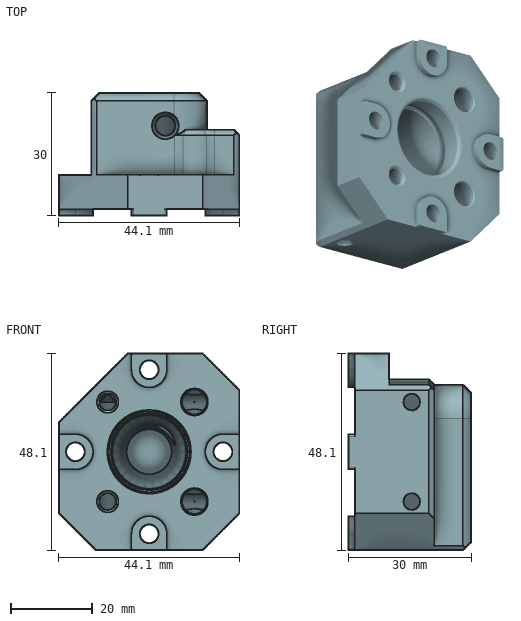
import cadquery as cq
import math

width = 44.1
height = 48.1
depth = 30.0
half_width = width / 2
half_height = height / 2

pad_thickness = 1.6
plate_back = 10.0
corner_cut = 9.0
large_corner_cut = 16.85

pad_radius = 4.35
pad_corner_round = 0.5
side_pad_offset = 18.05
end_pad_offset = 20.05
mount_hole_diameter = 4.5

body_top = 16.4
body_half_width = 14.2
upper_corner_radius = 8.2
upper_chamfer = 1.95
lower_back = 21.0
lower_chamfer = 1.3
boss_radius = 5.6
boss_blend_radius = 4.0

blind_hole_height = 12.15
small_hole_x = -10.15
small_hole_radius = 2.05
small_hole_chamfer = 0.6
large_hole_x = 11.05
large_hole_radius = 3.05
large_hole_chamfer = 0.3
drill_point_angle = 118.0

long_passage_y = 22.0
long_passage_radius = 2.05
side_passage_radius = 2.0
side_passage_overrun = 0.5
drill_point_overrun = 0.05
side_passage_y = (plate_back + lower_back) / 2

port_x = 3.95
port_y = 22.0
port_radius = 3.25
port_straight_depth = 4.8
port_taper_length = 4.8
port_feed_radius = 2.4

bore_rim_radius = 10.25
bore_chamfer_radius = 9.85
bore_radius = 9.4
bore_lip_depth = 0.15
bore_chamfer_depth = 0.75
groove_radius = 10.1
groove_start = 6.95
groove_end = 8.8
taper_start_radius = 9.05
taper_end_radius = 5.5
taper_end = 27.9


def front_plane(y):
    """Sketch plane facing -Y at the given depth: local axes are X and Z."""
    return cq.Workplane("XZ", origin=(0, y, 0))


def turned(profile, x, z):
    """Revolve (radius, y) points about a Y-parallel axis through (x, z)."""
    sketch = cq.Workplane("XY").polyline(profile).close()
    return sketch.revolve(360, (0, 0, 0), (0, 1, 0)).translate((x, 0, z))


def plate_outline(start, end):
    """Prism of the eight-sided plate outline between two Y depths."""
    points = [
        (-half_width, half_height - large_corner_cut),
        (-half_width + large_corner_cut, half_height),
        (half_width - corner_cut, half_height),
        (half_width, half_height - corner_cut),
        (half_width, -half_height + corner_cut),
        (half_width - corner_cut, -half_height),
        (-half_width + corner_cut, -half_height),
        (-half_width, -half_height + corner_cut),
    ]
    return front_plane(start).polyline(points).close().extrude(start - end)


def mounting_pad(center_offset, edge_offset):
    """Raised pad, straight towards the plate edge and round towards the bore, placed at +Z."""
    straight = edge_offset - center_offset
    pad = (
        front_plane(0)
        .moveTo(-pad_radius, center_offset)
        .threePointArc((0, center_offset - pad_radius), (pad_radius, center_offset))
        .line(0, straight)
        .line(-2 * pad_radius, 0)
        .close()
        .extrude(-pad_thickness)
    )
    return pad.edges("|Y and >Z").fillet(pad_corner_round)


def upper_body():
    """Tall body, full depth, with one large round on its upper +X corner."""
    body = (
        front_plane(plate_back)
        .moveTo(-body_half_width, -half_height)
        .lineTo(-body_half_width, body_top)
        .lineTo(body_half_width - upper_corner_radius, body_top)
        .radiusArc((body_half_width, body_top - upper_corner_radius), upper_corner_radius)
        .lineTo(body_half_width, -half_height)
        .close()
        .extrude(plate_back - depth)
    )
    body = body.faces(">Y").edges().chamfer(upper_chamfer)
    return body.intersect(plate_outline(plate_back, depth))


def lower_body():
    """Shallower, wider body whose top swells into a boss around the large hole."""
    blend_center_z = body_top + boss_blend_radius
    center_distance = boss_radius + boss_blend_radius
    blend_reach = math.sqrt(center_distance**2 - (blend_center_z - blind_hole_height) ** 2)
    touch_ratio = boss_radius / center_distance
    touch_x = blend_reach * touch_ratio
    touch_z = blind_hole_height + (blend_center_z - blind_hole_height) * touch_ratio
    body = (
        front_plane(plate_back)
        .moveTo(-body_half_width, -half_height)
        .lineTo(-body_half_width, body_top)
        .lineTo(large_hole_x - blend_reach, body_top)
        .radiusArc((large_hole_x - touch_x, touch_z), -boss_blend_radius)
        .radiusArc((large_hole_x + touch_x, touch_z), boss_radius)
        .radiusArc((large_hole_x + blend_reach, body_top), -boss_blend_radius)
        .lineTo(half_width, body_top)
        .lineTo(half_width, -half_height)
        .close()
        .extrude(plate_back - lower_back)
    )
    body = body.faces(">Y").edges().chamfer(lower_chamfer)
    return body.intersect(plate_outline(plate_back, lower_back))


def main_bore():
    face = pad_thickness
    profile = [
        (0, face),
        (bore_rim_radius, face),
        (bore_chamfer_radius, face + bore_lip_depth),
        (bore_radius, face + bore_chamfer_depth),
        (bore_radius, groove_start),
        (groove_radius, groove_start),
        (groove_radius, groove_end),
        (taper_start_radius, groove_end),
        (taper_end_radius, taper_end),
        (0, taper_end),
    ]
    return turned(profile, 0, 0)


def small_hole(z):
    """Chamfered flat-bottomed hole ending on the axis of the long passage."""
    profile = [
        (0, pad_thickness),
        (small_hole_radius + small_hole_chamfer, pad_thickness),
        (small_hole_radius, pad_thickness + small_hole_chamfer),
        (small_hole_radius, long_passage_y),
        (0, long_passage_y),
    ]
    return turned(profile, small_hole_x, z)


def large_hole(z):
    """Chamfered drilled hole whose point barely nicks the far wall of its side passage."""
    tip = side_passage_y + side_passage_radius + drill_point_overrun
    shoulder = tip - large_hole_radius / math.tan(math.radians(drill_point_angle / 2))
    profile = [
        (0, pad_thickness),
        (large_hole_radius + large_hole_chamfer, pad_thickness),
        (large_hole_radius, pad_thickness + large_hole_chamfer),
        (large_hole_radius, shoulder),
        (0, tip),
    ]
    return turned(profile, large_hole_x, z)


def side_passage(z):
    """Bore from the +X side, ending just past the inner wall of the large hole."""
    inner_end = large_hole_x - large_hole_radius - side_passage_overrun
    plane = cq.Workplane("YZ", origin=(inner_end, side_passage_y, z))
    return plane.circle(side_passage_radius).extrude(half_width - inner_end)


def long_passage():
    """Bore from the -Z side with a 90 degree point above the upper small hole's axis."""
    radius = long_passage_radius
    profile = [
        (0, -half_height),
        (radius, -half_height),
        (radius, blind_hole_height),
        (0, blind_hole_height + radius),
    ]
    sketch = cq.Workplane("XZ").polyline(profile).close()
    return sketch.revolve(360, (0, 0, 0), (0, 1, 0)).translate((small_hole_x, long_passage_y, 0))


def top_port():
    """Port in the top tapering to a feed hole ending level with the bore axis."""
    shoulder = body_top - port_straight_depth
    profile = [
        (0, 0),
        (port_feed_radius, 0),
        (port_feed_radius, shoulder - port_taper_length),
        (port_radius, shoulder),
        (port_radius, body_top),
        (0, body_top),
    ]
    sketch = cq.Workplane("XZ").polyline(profile).close()
    return sketch.revolve(360, (0, 0, 0), (0, 1, 0)).translate((port_x, port_y, 0))


result = plate_outline(pad_thickness, plate_back).union(upper_body()).union(lower_body())
for angle in (0, 90, 180, 270):
    on_end = angle % 180 == 0
    offset = end_pad_offset if on_end else side_pad_offset
    edge = half_height if on_end else half_width
    pad = mounting_pad(offset, edge)
    mount_hole = front_plane(0).center(0, offset).circle(mount_hole_diameter / 2).extrude(-depth)
    result = result.union(pad.rotate((0, 0, 0), (0, 1, 0), angle))
    result = result.cut(mount_hole.rotate((0, 0, 0), (0, 1, 0), angle))

result = result.cut(main_bore()).cut(top_port()).cut(long_passage())
for hole_z in (-blind_hole_height, blind_hole_height):
    result = result.cut(small_hole(hole_z))
    result = result.cut(large_hole(hole_z))
    result = result.cut(side_passage(hole_z))